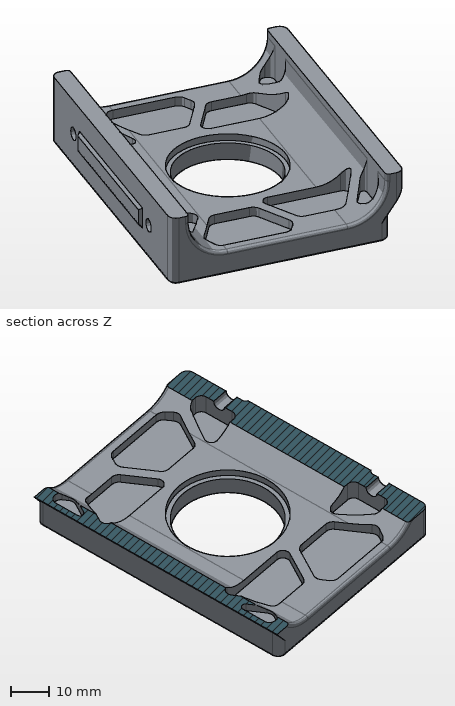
import cadquery as cq
import math

LENGTH = 82.0
DEPTH = 66.0
HEIGHT = 20.0
CORNER_RADIUS = 2.3
BASE_CHAMFER = 0.6

CHANNEL_WIDTH = 55.7
CHANNEL_FLOOR_Z = 7.0
CHANNEL_RADIUS = 10.9
CHANNEL_END_FILLET = 1.0
RIM_TOLERANCE = 0.01

STEP_INSET = 4.1
STEP_TOP_Z = 14.5
STEP_BOTTOM_Z = 8.8

BORE_DIAMETER = 30.0
COUNTERBORE_DIAMETER = 32.6
COUNTERBORE_DEPTH = 2.0

POCKET_DEPTH = 2.7
BACK_POCKET_FLOOR_Z = 7.7
HEX_WIDTH = 22.1
HEX_RIB = 2.9
INNER_COLUMN_X = 21.0
INNER_COLUMN_Y = 13.6
INNER_CUT_X = 19.3
OUTER_CUT_X = 37.9
OUTER_BACK_CUT_X = 37.2
HEX_FILLET = 2.5
CUT_FILLET = 2.0
SHARP_FILLET = 1.0

FEATURE_Z = 10.0
PLATE_LENGTH = 43.1
PLATE_HEIGHT = 6.0
PLATE_THICKNESS = 0.8
PLATE_SLOPE = 45.0
PIN_DIAMETER = 3.6
PIN_X = 25.7

FRONT_Y = -DEPTH / 2
BACK_Y = DEPTH / 2
WALL_Y = CHANNEL_WIDTH / 2
WALL_THICKNESS = BACK_Y - WALL_Y
POCKET_FLOOR_Z = CHANNEL_FLOOR_Z - POCKET_DEPTH
HEX_SLOPE = math.tan(math.radians(30))
HEX_RADIUS = HEX_WIDTH / math.sqrt(3)
COLUMN_PITCH = (HEX_WIDTH + HEX_RIB) / 2
ROW_PITCH = (HEX_WIDTH + HEX_RIB) * math.sqrt(3) / 2
OUTER_COLUMN_X = INNER_COLUMN_X + COLUMN_PITCH


def rounded_block(back_y):
    """Full-height block from the front face to back_y, rounded and chamfered."""
    return (
        cq.Workplane("XY")
        .box(LENGTH, back_y - FRONT_Y, HEIGHT, centered=(True, False, False))
        .translate((0, FRONT_Y, 0))
        .edges("|Z").fillet(CORNER_RADIUS)
        .faces("<Z").chamfer(BASE_CHAMFER)
    )


def stepped_body():
    """Narrow base joined to the part of the deep block that lies above the back slope."""
    step_y = BACK_Y - STEP_INSET
    slope = STEP_INSET / (STEP_TOP_Z - STEP_BOTTOM_Z)
    slope_base_y = step_y - slope * STEP_BOTTOM_Z
    above_slope = (
        cq.Workplane("YZ")
        .polyline([
            (FRONT_Y, HEIGHT),
            (FRONT_Y, 0),
            (slope_base_y, 0),
            (BACK_Y, STEP_TOP_Z),
            (BACK_Y, HEIGHT),
        ])
        .close()
        .extrude(LENGTH / 2, both=True)
    )
    return rounded_block(step_y).union(rounded_block(BACK_Y).intersect(above_slope))


def channel():
    """Tool for the open-topped channel with rounded lower corners."""
    return (
        cq.Workplane("XY")
        .box(LENGTH, CHANNEL_WIDTH, HEIGHT, centered=(True, True, False))
        .translate((0, 0, CHANNEL_FLOOR_Z))
        .edges("|X and <Z").fillet(CHANNEL_RADIUS)
    )


def fillet_channel_ends(body):
    """Round the rim of the channel on both end faces."""
    for side in (-1, 1):
        end_x = side * LENGTH / 2
        selector = cq.selectors.BoxSelector(
            (end_x - RIM_TOLERANCE, -WALL_Y - RIM_TOLERANCE, CHANNEL_FLOOR_Z - RIM_TOLERANCE),
            (end_x + RIM_TOLERANCE, WALL_Y + RIM_TOLERANCE, HEIGHT - RIM_TOLERANCE),
        )
        body = body.edges(selector).fillet(CHANNEL_END_FILLET)
    return body


def bore():
    """Tool for the through bore and its counterbore in the channel floor."""
    through = cq.Workplane("XY").circle(BORE_DIAMETER / 2).extrude(HEIGHT)
    counterbore = (
        cq.Workplane("XY", origin=(0, 0, CHANNEL_FLOOR_Z - COUNTERBORE_DEPTH))
        .circle(COUNTERBORE_DIAMETER / 2)
        .extrude(HEIGHT)
    )
    return through.union(counterbore)


def fillet_corners(pocket, corners):
    """Fillet the upright pocket edges nearest to the (x, y, radius) corners."""
    for x, y, radius in corners:
        nearest = cq.selectors.NearestToPointSelector((x, y, HEIGHT / 2))
        pocket = pocket.edges("|Z").edges(nearest).fillet(radius)
    return pocket


def pocket_prism(corners, floor_z=POCKET_FLOOR_Z):
    """Upright pocket tool from (x, y, corner radius) triples."""
    outline = [(x, y) for x, y, radius in corners]
    prism = (
        cq.Workplane("XY", origin=(0, 0, floor_z))
        .polyline(outline).close()
        .extrude(HEIGHT)
    )
    return fillet_corners(prism, corners)


def slope_rise(x, center_x):
    """Half height of a hexagon of the grid at x, measured from its own centre."""
    return HEX_RADIUS - HEX_SLOPE * (x - center_x)


def inner_middle_pocket():
    """Inner-column hexagon beside the bore, cut straight on its bore side."""
    flat_x = INNER_COLUMN_X + HEX_WIDTH / 2
    flat_half = slope_rise(flat_x, INNER_COLUMN_X)
    cut_half = slope_rise(INNER_CUT_X, INNER_COLUMN_X)
    return pocket_prism([
        (INNER_CUT_X, INNER_COLUMN_Y - cut_half, CUT_FILLET),
        (flat_x, INNER_COLUMN_Y - flat_half, HEX_FILLET),
        (flat_x, INNER_COLUMN_Y + flat_half, HEX_FILLET),
        (INNER_CUT_X, INNER_COLUMN_Y + cut_half, CUT_FILLET),
    ])


def inner_front_pocket():
    """Inner-column hexagon that ends at the -Y channel wall."""
    center_y = INNER_COLUMN_Y - 2 * ROW_PITCH
    flat_x = INNER_COLUMN_X + HEX_WIDTH / 2
    return pocket_prism([
        (INNER_CUT_X, -WALL_Y, CUT_FILLET),
        (flat_x, -WALL_Y, CUT_FILLET),
        (flat_x, center_y + slope_rise(flat_x, INNER_COLUMN_X), HEX_FILLET),
        (INNER_CUT_X, center_y + slope_rise(INNER_CUT_X, INNER_COLUMN_X), CUT_FILLET),
    ])


def outer_middle_pocket():
    """Outer-column hexagon beside the bore, cut straight near the end face."""
    center_y = INNER_COLUMN_Y - ROW_PITCH
    flat_x = OUTER_COLUMN_X - HEX_WIDTH / 2
    flat_half = HEX_RADIUS / 2
    cut_half = slope_rise(OUTER_CUT_X, OUTER_COLUMN_X)
    return pocket_prism([
        (flat_x, center_y - flat_half, HEX_FILLET),
        (OUTER_COLUMN_X, center_y - HEX_RADIUS, HEX_FILLET),
        (OUTER_CUT_X, center_y - cut_half, HEX_FILLET),
        (OUTER_CUT_X, center_y + cut_half, HEX_FILLET),
        (OUTER_COLUMN_X, center_y + HEX_RADIUS, HEX_FILLET),
        (flat_x, center_y + flat_half, HEX_FILLET),
    ])


def outer_back_pocket():
    """Lower tip of the outer-column hexagon that ends at the +Y channel wall."""
    center_y = INNER_COLUMN_Y + ROW_PITCH
    tip_y = center_y - HEX_RADIUS
    sharp_x = OUTER_COLUMN_X - (WALL_Y - tip_y) / HEX_SLOPE
    cut_y = center_y - slope_rise(OUTER_BACK_CUT_X, OUTER_COLUMN_X)
    return pocket_prism([
        (sharp_x, WALL_Y, SHARP_FILLET),
        (OUTER_COLUMN_X, tip_y, HEX_FILLET),
        (OUTER_BACK_CUT_X, cut_y, CUT_FILLET),
        (OUTER_BACK_CUT_X, WALL_Y, CUT_FILLET),
    ], floor_z=BACK_POCKET_FLOOR_Z)


def label_plate():
    """Raised plate on the front face, narrowing outwards."""
    return (
        cq.Workplane("XZ", origin=(0, FRONT_Y, FEATURE_Z))
        .rect(PLATE_LENGTH, PLATE_HEIGHT)
        .extrude(PLATE_THICKNESS, taper=PLATE_SLOPE)
    )


def pin_holes():
    """Tool for the pin holes, from the front face into the front pockets."""
    return (
        cq.Workplane("XZ", origin=(0, FRONT_Y, FEATURE_Z))
        .pushPoints([(-PIN_X, 0), (PIN_X, 0)])
        .circle(PIN_DIAMETER / 2)
        .extrude(-WALL_THICKNESS)
    )


result = fillet_channel_ends(stepped_body().cut(channel()))
result = result.cut(bore())
pockets = [
    inner_middle_pocket(),
    inner_front_pocket(),
    outer_middle_pocket(),
    outer_back_pocket(),
]
for pocket in pockets:
    result = result.cut(pocket).cut(pocket.mirror("YZ"))
result = result.cut(pin_holes()).union(label_plate())